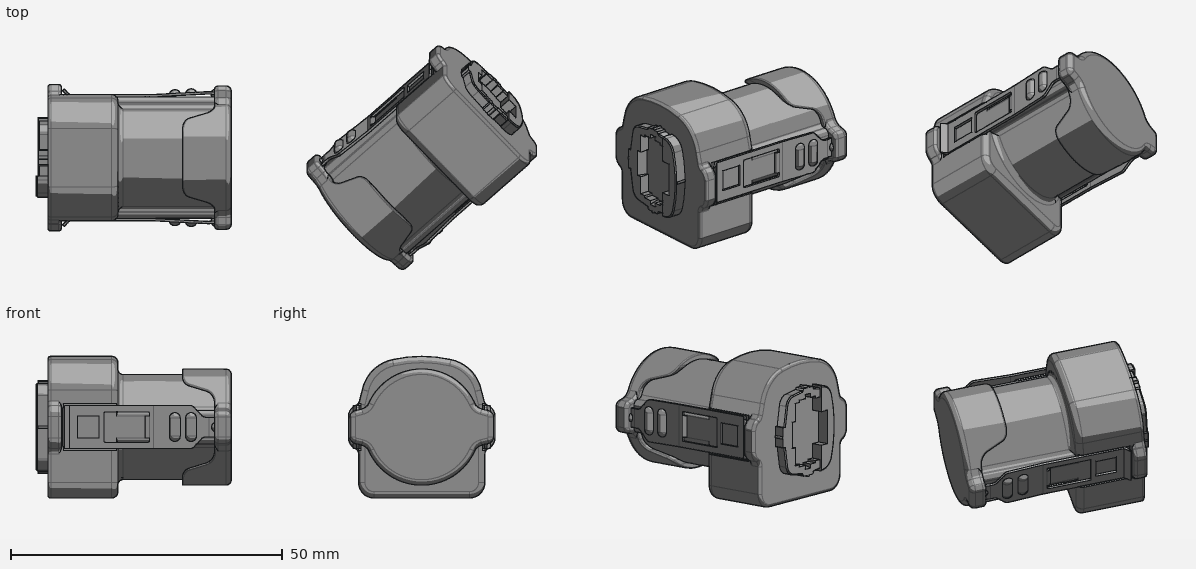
import cadquery as cq
import math


LENGTH = 35.95

HOOD_FRONT = 0.0
SPIGOT_FRONT = 0.35
BODY_FRONT = 2.15
EAR_REAR = 4.67
BODY_REAR = 15.05
COLLAR_FRONT = 26.93
LUG_FRONT = 32.82

BODY_HALF_Y = 11.65
BODY_HEIGHT = 26.15
BODY_TOP_Z = 13.05
BODY_BOTTOM_Z = BODY_TOP_Z - BODY_HEIGHT
BOTTOM_CORNER_R = 2.88
SHOULDER_Y, SHOULDER_Z = 10.95, 6.85
SHOULDER_R = 7.3
CROWN_Y, CROWN_Z = 5.4, 12.45
EAR_SPAN_Y = 27.0
EAR_HALF_Y = EAR_SPAN_Y / 2
EAR_TIP_Z = 3.35
EAR_TIP_R = 2.15
EAR_ROOT_Z = 4.25
EAR_ROOT_R = 1.2
FRONT_EDGE_R = 0.55
REAR_EDGE_R = 1.2

BARREL_R = 9.7
FLARE_R = 0.97
RAIL_TOP_Y = 11.18
RAIL_HALF_Z = 3.1
RAIL_R = 1.05

COLLAR_R = 10.7
COLLAR_REAR_R = 1.0
RIM_R = 0.2
WAVE_CREST_Z = 7.95
WAVE_CREST_R = 1.8
WAVE_FOOT_Z = 6.15
WAVE_FOOT_R = 2.15
LUG_HALF_Y = 13.23
LUG_TIP_Z = 2.77
LUG_TIP_R = 1.2
LUG_PEAK_Z = 6.22
LUG_ROOT_R = 1.98
LUG_FRONT_R = 0.7

CLIP_T = BODY_HALF_Y - RAIL_TOP_Y
CLIP_HALF_Z = 4.0
CLIP_REAR = LUG_FRONT + LUG_FRONT_R
RECESS_FRONT = 5.05
RECESS_HALF_Z = 4.35
TAB_TIP_X = 5.18
TAB_BEND_X = 6.2
TAB_RISE = TAB_BEND_X - TAB_TIP_X
TAB_CORNER_R = 0.72
LEAF_BEND_X = 21.65
LEAF_END_X = 31.8
LEAF_RISE = 0.55
TONGUE_DROP = 0.15
TAPER_START_X, TAPER_END_X = 28.75, 30.8
TAPER_R = 1.08
NECK_HALF_Z = 1.8
SQUARE_X, SQUARE_SIZE = 9.6, 4.0
WINDOW_FRONT, WINDOW_REAR = 12.47, 20.85
WINDOW_HALF_Z = 2.8
WINDOW_CORNER_R = 0.3
CATCH_R = 0.9
CATCH_HALF_Z = 2.05
GRIP_X = (25.55, 28.55)
GRIP_R = 1.08
GRIP_HEIGHT = 0.7
GRIP_HALF_SPAN = 1.65
NUB_X, NUB_Y, NUB_R = 33.18, 11.72, 0.97

HOOD_EDGE_Y = -3.38
SPIGOT_FACE_Y, SPIGOT_FACE_Z = 1.5, 7.9
SPIGOT_CORNER_Y, SPIGOT_CORNER_Z = 5.85, 7.3
SPIGOT_CORNER_R = 2.15
SPIGOT_SIDE_Y = 6.8
SPIGOT_CHAMFER = 0.2
HOOD_EDGE_Z = 8.05
HOOD_CORNER_Y, HOOD_CORNER_Z = -5.9, 7.65
HOOD_CORNER_R = 2.88
HOOD_SIDE_Y = -7.25
KEY_TOP_Z = 8.27
KEY_TOP_HALF_Y = 1.3
KEY_ROOT_HALF_Y = 1.65
SIDE_KEY_Y = 7.2
SIDE_KEY_CROWN = 0.07
SIDE_KEY_HALF_Z = 1.9
RIDGE_R = 0.32
RIDGE_Z = KEY_TOP_Z - 0.05
RIDGE_Y = 7.05
SPIGOT_SINK = 0.35

POCKET_FLOOR = BODY_FRONT
POCKET_Y, POCKET_HALF_Z = 3.6, 5.9
STEP_Y0, STEP_Y1, STEP_HALF_Z = -2.12, 2.45, 6.3
HOOD_POCKET_Y, HOOD_POCKET_HALF_Z = -5.18, 3.15
SLOT_HALF_Y, SLOT_MOUTH_Z, SLOT_FLOOR_Z = 0.72, 7.05, 6.58
SIDE_SLOT_HALF_Z, SIDE_SLOT_MOUTH_Y, SIDE_SLOT_FLOOR_Y = 2.48, 4.5, 3.92

TOLERANCE = 0.018


def yz():
    return cq.Workplane("YZ")


def extrude_x(profile, start, end):
    """Extrude a YZ profile from X = start to X = end."""
    return profile.extrude(end - start).translate((start, 0, 0))


def box(x0, x1, y0, y1, z0, z1):
    return cq.Workplane("XY").box(x1 - x0, y1 - y0, z1 - z0, centered=False).translate((x0, y0, z0))


def both_sides(solid):
    return solid.union(solid.mirror("XZ"))


def mirrored(points):
    """The points followed by their mirror images below the first axis, in the order of a loop."""
    return points + [(u, -v) for u, v in reversed(points)]


def edges_near(solid, y, z):
    """Edges along X that pass through (+-y, z)."""
    return solid.edges("|X").filter(
        lambda e: abs(abs(e.Center().y) - abs(y)) < TOLERANCE and abs(e.Center().z - z) < TOLERANCE
    )


def body_outline(side):
    """Closed body section; side lists the +Y points from the bottom corner to the shoulder."""
    outline = yz().moveTo(-BODY_HALF_Y, BODY_BOTTOM_Z)
    for y, z in side:
        outline = outline.lineTo(y, z)
    outline = outline.radiusArc((CROWN_Y, CROWN_Z), -SHOULDER_R)
    outline = outline.threePointArc((0, BODY_TOP_Z), (-CROWN_Y, CROWN_Z))
    outline = outline.radiusArc((-SHOULDER_Y, SHOULDER_Z), -SHOULDER_R)
    for y, z in side[-2:0:-1]:
        outline = outline.lineTo(-y, z)
    return outline.close()


def make_main_body():
    bottom = (BODY_HALF_Y, BODY_BOTTOM_Z)
    side = [bottom, (BODY_HALF_Y, EAR_ROOT_Z), (SHOULDER_Y, SHOULDER_Z)]
    main = extrude_x(body_outline(side), BODY_FRONT + FRONT_EDGE_R, BODY_REAR)
    main = edges_near(main, *bottom).fillet(BOTTOM_CORNER_R)
    return main.faces(">X").edges().fillet(REAR_EDGE_R)


def make_eared_flange():
    bottom = (BODY_HALF_Y, BODY_BOTTOM_Z)
    side = [
        bottom,
        (BODY_HALF_Y, -EAR_ROOT_Z),
        (EAR_HALF_Y, -EAR_TIP_Z),
        (EAR_HALF_Y, EAR_TIP_Z),
        (BODY_HALF_Y, EAR_ROOT_Z),
        (SHOULDER_Y, SHOULDER_Z),
    ]
    flange = extrude_x(body_outline(side), BODY_FRONT, EAR_REAR)
    flange = edges_near(flange, *bottom).fillet(BOTTOM_CORNER_R)
    for sign in (-1, 1):
        flange = edges_near(flange, EAR_HALF_Y, sign * EAR_TIP_Z).fillet(EAR_TIP_R)
        flange = edges_near(flange, BODY_HALF_Y, sign * EAR_ROOT_Z).fillet(EAR_ROOT_R)
    return flange.faces("<X or >X").edges().fillet(FRONT_EDGE_R)


def make_body():
    recess = box(RECESS_FRONT, BODY_REAR, RAIL_TOP_Y, EAR_HALF_Y, -RECESS_HALF_Z, RECESS_HALF_Z)
    return make_main_body().union(make_eared_flange()).cut(both_sides(recess))


def make_barrel():
    start = BODY_REAR - REAR_EDGE_R
    barrel = extrude_x(yz().circle(BARREL_R), start, LENGTH - COLLAR_REAR_R)
    rails = extrude_x(yz().rect(2 * RAIL_TOP_Y, 2 * RAIL_HALF_Z), start, LUG_FRONT + LUG_FRONT_R)
    barrel = barrel.union(rails.edges("|X").fillet(RAIL_R))
    rail_root_y = math.sqrt(BARREL_R**2 - RAIL_HALF_Z**2)
    for sign in (-1, 1):
        barrel = edges_near(barrel, rail_root_y, sign * RAIL_HALF_Z).fillet(RAIL_R)

    flare = (
        cq.Workplane("XY")
        .moveTo(start, 0)
        .lineTo(start, BARREL_R)
        .lineTo(BODY_REAR, BARREL_R + FLARE_R)
        .radiusArc((BODY_REAR + FLARE_R, BARREL_R), -FLARE_R)
        .lineTo(BODY_REAR + FLARE_R, 0)
        .close()
        .revolve(360, (0, 0, 0), (1, 0, 0))
    )
    return barrel.union(flare)


def is_rim_edge(edge):
    """True for a curved edge on the outer collar surface, away from its rear end."""
    radii = [math.hypot(p.y, p.z) for p in edge.positions([0, 0.3, 0.7, 1])]
    on_surface = all(abs(r - COLLAR_R) < TOLERANCE for r in radii)
    return on_surface and edge.geomType() != "LINE" and edge.Center().x < LENGTH - 2 * COLLAR_REAR_R


def make_sleeve():
    """Collar tube whose sides are cut back by a wave running right across in Y."""
    beyond = COLLAR_R + 0.35
    crest = (COLLAR_FRONT, WAVE_CREST_Z)
    foot = (LUG_FRONT, WAVE_FOOT_Z)
    outline = mirrored([(COLLAR_FRONT - 0.35, beyond), (COLLAR_FRONT, beyond), crest, foot])
    wave = cq.Workplane("XZ").polyline(outline).close().extrude(LUG_HALF_Y, both=True)
    for (x, z), radius in ((crest, WAVE_CREST_R), (foot, WAVE_FOOT_R)):
        corners = wave.edges("|Y").filter(
            lambda e: abs(e.Center().x - x) < TOLERANCE and abs(abs(e.Center().z) - z) < TOLERANCE
        )
        wave = corners.fillet(radius)
    sleeve = extrude_x(yz().circle(COLLAR_R), COLLAR_FRONT, LENGTH - COLLAR_REAR_R).cut(wave)
    return sleeve.edges().filter(is_rim_edge).fillet(RIM_R)


def make_lug_ring():
    lugs = yz().polyline(
        mirrored([(-LUG_HALF_Y, LUG_TIP_Z), (0, LUG_PEAK_Z), (LUG_HALF_Y, LUG_TIP_Z)])
    )
    ring = extrude_x(lugs.close(), LUG_FRONT, LENGTH)
    ring = ring.union(extrude_x(yz().circle(COLLAR_R), LUG_FRONT, LENGTH))
    roots = ring.edges("|X").filter(
        lambda e: abs(e.Center().y) < COLLAR_R and abs(e.Center().z) > LUG_TIP_Z
    )
    ring = roots.fillet(LUG_ROOT_R)
    for sign in (-1, 1):
        ring = edges_near(ring, LUG_HALF_Y, sign * LUG_TIP_Z).fillet(LUG_TIP_R)
    ring = ring.faces(">X").edges().fillet(COLLAR_REAR_R)
    return ring.faces("<X").edges().fillet(LUG_FRONT_R)


def make_clip_strip():
    """Bent strip: slanted front tab, flat stretch, slightly raised leaf and tongue."""
    outer = -BODY_HALF_Y
    inner = outer + CLIP_T
    tongue = outer - LEAF_RISE + TONGUE_DROP
    across = CLIP_T / math.sqrt(2)
    bend_shift = CLIP_T * math.tan(math.radians(22.5))
    profile = cq.Workplane("XY").polyline(
        [
            (TAB_TIP_X, outer - TAB_RISE),
            (TAB_BEND_X, outer),
            (LEAF_BEND_X, outer),
            (LEAF_END_X, outer - LEAF_RISE),
            (CLIP_REAR, tongue),
            (CLIP_REAR, tongue + CLIP_T),
            (LEAF_END_X, inner - LEAF_RISE),
            (LEAF_BEND_X, inner),
            (TAB_BEND_X - bend_shift, inner),
            (TAB_TIP_X - across, outer - TAB_RISE + across),
        ]
    )
    return profile.close().extrude(CLIP_HALF_Z, both=True)


def make_clip_plan():
    """Clip outline in XZ: wide leaf with rounded front corners, tapering to the neck."""
    front = TAB_TIP_X - CLIP_T / math.sqrt(2)
    outline = mirrored(
        [
            (front, CLIP_HALF_Z),
            (TAPER_START_X, CLIP_HALF_Z),
            (TAPER_END_X, NECK_HALF_Z),
            (CLIP_REAR, NECK_HALF_Z),
        ]
    )
    plan = cq.Workplane("XZ").polyline(outline).close().extrude(EAR_HALF_Y)
    plan = plan.edges("|Y and <X").fillet(TAB_CORNER_R)
    taper = plan.edges("|Y").filter(lambda e: TAB_BEND_X < e.Center().x < LEAF_END_X)
    return taper.fillet(TAPER_R)


def make_catch():
    """Rounded lip that curls from the rear edge of the window down to the rail."""
    root = WINDOW_REAR + CLIP_T
    outer = -BODY_HALF_Y
    return (
        cq.Workplane("XY")
        .moveTo(WINDOW_REAR, outer)
        .radiusArc((WINDOW_REAR - CATCH_R, outer + CATCH_R), CATCH_R)
        .lineTo(root, outer + CATCH_R)
        .lineTo(root, outer)
        .close()
        .extrude(CATCH_HALF_Z, both=True)
    )


def make_grip(x):
    """Round-ended bar of which only the top stands out of the clip leaf."""
    leaf_y = -BODY_HALF_Y - LEAF_RISE * (x - LEAF_BEND_X) / (LEAF_END_X - LEAF_BEND_X)
    bar = cq.Workplane("XY").circle(GRIP_R).extrude(GRIP_HALF_SPAN, both=True)
    for z in (-GRIP_HALF_SPAN, GRIP_HALF_SPAN):
        bar = bar.union(cq.Workplane("XY").sphere(GRIP_R).translate((0, 0, z)))
    bar = bar.translate((x, leaf_y - GRIP_HEIGHT + GRIP_R, 0))
    above_leaf = box(
        x - GRIP_R, x + GRIP_R, -EAR_HALF_Y, leaf_y + CLIP_T / 2, -CLIP_HALF_Z, CLIP_HALF_Z
    )
    return bar.intersect(above_leaf)


def make_clip():
    square = cq.Workplane("XZ").center(SQUARE_X, 0).rect(SQUARE_SIZE, SQUARE_SIZE).extrude(EAR_HALF_Y)
    window = box(WINDOW_FRONT, WINDOW_REAR, -EAR_HALF_Y, 0, -WINDOW_HALF_Z, WINDOW_HALF_Z)
    window = window.edges("|Y").fillet(WINDOW_CORNER_R)
    clip = make_clip_strip().intersect(make_clip_plan()).cut(square).cut(window).union(make_catch())
    for x in GRIP_X:
        clip = clip.union(make_grip(x))
    return clip.union(cq.Workplane("XY").sphere(NUB_R).translate((NUB_X, -NUB_Y, 0)))


def extrude_spigot(profile, front=SPIGOT_FRONT):
    return extrude_x(profile, front, BODY_FRONT + SPIGOT_SINK)


def make_spigot_base():
    corner = (SPIGOT_CORNER_Y, SPIGOT_CORNER_Z)
    outline = mirrored(
        [
            (HOOD_EDGE_Y, HOOD_CORNER_Z),
            (-SPIGOT_FACE_Y, SPIGOT_FACE_Z),
            (SPIGOT_FACE_Y, SPIGOT_FACE_Z),
            corner,
            (SPIGOT_SIDE_Y, SIDE_KEY_HALF_Z),
        ]
    )
    base = extrude_spigot(yz().polyline(outline).close())
    for sign in (-1, 1):
        base = edges_near(base, corner[0], sign * corner[1]).fillet(SPIGOT_CORNER_R)
    return base.faces("<X").edges("not <Y").chamfer(SPIGOT_CHAMFER)


def make_hood():
    outline = (
        yz()
        .moveTo(HOOD_EDGE_Y, HOOD_EDGE_Z)
        .lineTo(HOOD_CORNER_Y, HOOD_CORNER_Z)
        .threePointArc((HOOD_SIDE_Y, 0), (HOOD_CORNER_Y, -HOOD_CORNER_Z))
        .lineTo(HOOD_EDGE_Y, -HOOD_EDGE_Z)
        .close()
    )
    hood = extrude_spigot(outline, HOOD_FRONT)
    for sign in (-1, 1):
        hood = edges_near(hood, HOOD_CORNER_Y, sign * HOOD_CORNER_Z).fillet(HOOD_CORNER_R)
    return hood.faces("<X").edges("not >Y").chamfer(SPIGOT_CHAMFER)


def make_keys():
    """Keys on the top, bottom and +Y faces, and a fine ridge on all four faces."""
    root_z = SPIGOT_FACE_Z - SPIGOT_CHAMFER
    upright = mirrored(
        [
            (-KEY_ROOT_HALF_Y, root_z),
            (-KEY_TOP_HALF_Y, KEY_TOP_Z),
            (KEY_TOP_HALF_Y, KEY_TOP_Z),
            (KEY_ROOT_HALF_Y, root_z),
        ]
    )
    side_root = SPIGOT_SIDE_Y - SPIGOT_CHAMFER
    side = (
        yz()
        .moveTo(side_root, -SIDE_KEY_HALF_Z)
        .lineTo(SIDE_KEY_Y, -SIDE_KEY_HALF_Z)
        .threePointArc((SIDE_KEY_Y + SIDE_KEY_CROWN, 0), (SIDE_KEY_Y, SIDE_KEY_HALF_Z))
        .lineTo(side_root, SIDE_KEY_HALF_Z)
        .close()
    )
    centres = [(0, RIDGE_Z), (0, -RIDGE_Z), (RIDGE_Y, 0), (-RIDGE_Y, 0)]
    ridges = yz().pushPoints(centres).circle(RIDGE_R)
    keys = extrude_spigot(yz().polyline(upright).close())
    return keys.union(extrude_spigot(side)).union(extrude_spigot(ridges))


def make_spigot():
    return make_spigot_base().union(make_hood()).union(make_keys())


def make_pocket():
    """Stepped pocket with a hood notch and three slots that narrow toward the floor."""

    def block(y0, y1, half_z):
        return box(HOOD_FRONT, POCKET_FLOOR, y0, y1, -half_z, half_z)

    pocket = block(HOOD_EDGE_Y, POCKET_Y, POCKET_HALF_Z)
    pocket = pocket.union(block(STEP_Y0, STEP_Y1, STEP_HALF_Z))
    pocket = pocket.union(block(HOOD_POCKET_Y, 0, HOOD_POCKET_HALF_Z))

    slots = mirrored([(SPIGOT_FRONT, SLOT_MOUTH_Z), (POCKET_FLOOR, SLOT_FLOOR_Z)])
    pocket = pocket.union(cq.Workplane("XZ").polyline(slots).close().extrude(SLOT_HALF_Y, both=True))
    side_slot = [
        (SPIGOT_FRONT, 0),
        (SPIGOT_FRONT, SIDE_SLOT_MOUTH_Y),
        (POCKET_FLOOR, SIDE_SLOT_FLOOR_Y),
        (POCKET_FLOOR, 0),
    ]
    side_slot = cq.Workplane("XY").polyline(side_slot).close()
    return pocket.union(side_slot.extrude(SIDE_SLOT_HALF_Z, both=True))


result = (
    make_body()
    .union(make_barrel())
    .union(make_sleeve())
    .union(make_lug_ring())
    .union(both_sides(make_clip()))
    .union(make_spigot())
    .cut(make_pocket())
)